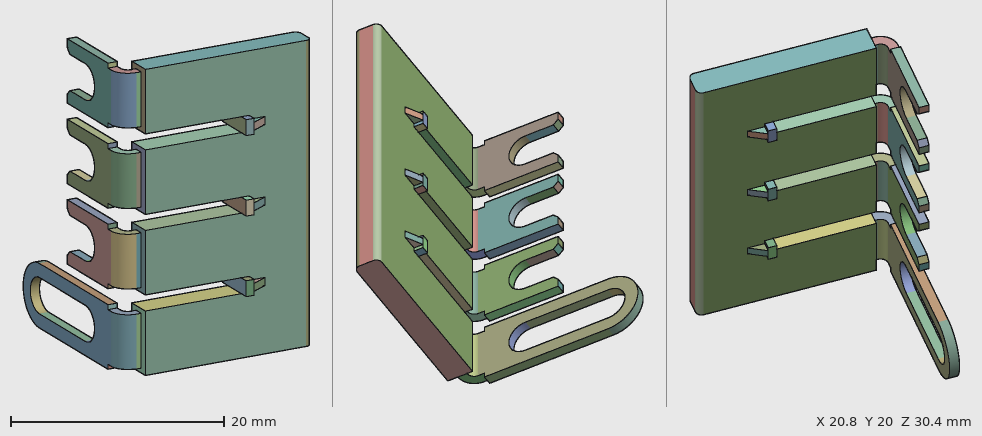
import cadquery as cq


total_height = 30.4
total_depth = 20.0
total_width = 20.8
terminal_count = 4
fork_count = terminal_count - 1
terminal_height = 6.4
pitch = (total_height - terminal_height) / fork_count
gap_height = pitch - terminal_height

wall_thickness = 2.68
wall_front_y = 2.22
back_fillet = 0.6
slot_end_y = 12.45

barb_width = 4.62
barb_block_depth = 0.85
barb_ramp_depth = 1.7
barb_ramp_height = 0.8

sheet_thickness = 1.0
bend_outer_radius = 1.75
bend_inner_radius = bend_outer_radius - sheet_thickness
leg_outer_x = sheet_thickness / 2
bend_start_x = leg_outer_x - bend_outer_radius
shoulder_x = -1.9
neck_inset = 0.5
neck_height = terminal_height - 2 * neck_inset

opening_height = 3.6
opening_radius = opening_height / 2
opening_end_x = -4.55
opening_right_x = opening_end_x - opening_radius
fork_tip_x = -9.88
fork_chamfer = 0.52
loop_tip_x = barb_width / 2 - total_width
loop_radius = terminal_height / 2
loop_centre_x = loop_tip_x + loop_radius


def box(x_min, x_max, y_min, y_max, z_min, z_max):
    """Axis-aligned block between the given limits."""
    size = (x_max - x_min, y_max - y_min, z_max - z_min)
    return cq.Workplane("XY").box(*size, centered=False).translate((x_min, y_min, z_min))


def blade_sketch():
    """XZ workplane whose extrusion fills the sheet thickness from Y = 0."""
    return cq.Workplane("XZ", origin=(0, sheet_thickness, 0))


def make_barb(mid_z):
    """Full-height block with a narrower ramp behind it that tapers into both wall faces."""
    half_width = barb_width / 2
    block_end_y = slot_end_y + barb_block_depth
    ramp_end_y = block_end_y + barb_ramp_depth
    block = box(
        -half_width, half_width, slot_end_y, block_end_y,
        mid_z - gap_height / 2, mid_z + gap_height / 2,
    )
    ramp = (
        cq.Workplane("XY", origin=(0, 0, mid_z - barb_ramp_height / 2))
        .moveTo(-half_width, block_end_y)
        .lineTo(half_width, block_end_y)
        .lineTo(wall_thickness / 2, ramp_end_y)
        .lineTo(-wall_thickness / 2, ramp_end_y)
        .close()
        .extrude(barb_ramp_height)
    )
    return block.union(ramp)


def make_housing():
    """Comb-shaped wall with rounded back edges and one barb pair per slot."""
    half_wall = wall_thickness / 2
    housing = box(-half_wall, half_wall, wall_front_y, total_depth, 0, total_height)
    housing = housing.edges("|Z and >Y").fillet(back_fillet)
    for index in range(fork_count):
        slot_bottom = index * pitch + terminal_height
        slot_top = slot_bottom + gap_height
        slot = box(-half_wall, half_wall, wall_front_y, slot_end_y, slot_bottom, slot_top)
        housing = housing.cut(slot).union(make_barb((slot_bottom + slot_top) / 2))
    return housing


def make_neck():
    """Narrowed strip that bends from the blade back to the housing front face."""
    return (
        cq.Workplane("XY", origin=(0, 0, neck_inset))
        .moveTo(shoulder_x, 0)
        .lineTo(bend_start_x, 0)
        .radiusArc((leg_outer_x, bend_outer_radius), -bend_outer_radius)
        .lineTo(leg_outer_x, wall_front_y)
        .lineTo(leg_outer_x - sheet_thickness, wall_front_y)
        .lineTo(leg_outer_x - sheet_thickness, bend_outer_radius)
        .radiusArc((bend_start_x, sheet_thickness), bend_inner_radius)
        .lineTo(shoulder_x, sheet_thickness)
        .close()
        .extrude(neck_height)
    )


def make_loop_terminal():
    """Long terminal with a rounded end and a closed oblong opening."""
    blade = (
        blade_sketch()
        .moveTo(shoulder_x, 0)
        .lineTo(loop_centre_x, 0)
        .threePointArc((loop_tip_x, loop_radius), (loop_centre_x, terminal_height))
        .lineTo(shoulder_x, terminal_height)
        .close()
        .extrude(sheet_thickness)
    )
    opening_mid_x = (loop_centre_x + opening_right_x) / 2
    opening_length = opening_right_x - loop_centre_x + opening_height
    opening = (
        blade_sketch()
        .center(opening_mid_x, terminal_height / 2)
        .slot2D(opening_length, opening_height)
        .extrude(sheet_thickness)
    )
    return blade.cut(opening).union(make_neck())


def make_fork_terminal(bottom_z):
    """Short terminal with an open-ended slot chamfered at its mouth."""
    opening_bottom = (terminal_height - opening_height) / 2
    opening_top = opening_bottom + opening_height
    blade = (
        blade_sketch()
        .moveTo(shoulder_x, 0)
        .lineTo(fork_tip_x, 0)
        .lineTo(fork_tip_x, opening_bottom - fork_chamfer)
        .lineTo(fork_tip_x + fork_chamfer, opening_bottom)
        .lineTo(opening_right_x, opening_bottom)
        .threePointArc((opening_end_x, terminal_height / 2), (opening_right_x, opening_top))
        .lineTo(fork_tip_x + fork_chamfer, opening_top)
        .lineTo(fork_tip_x, opening_top + fork_chamfer)
        .lineTo(fork_tip_x, terminal_height)
        .lineTo(shoulder_x, terminal_height)
        .close()
        .extrude(sheet_thickness)
    )
    return blade.union(make_neck()).translate((0, 0, bottom_z))


housing = make_housing()
loop_terminal = make_loop_terminal()
fork_terminals = [make_fork_terminal((index + 1) * pitch) for index in range(fork_count)]

result = cq.Compound.makeCompound(
    [housing.val(), loop_terminal.val(), *[fork.val() for fork in fork_terminals]]
)